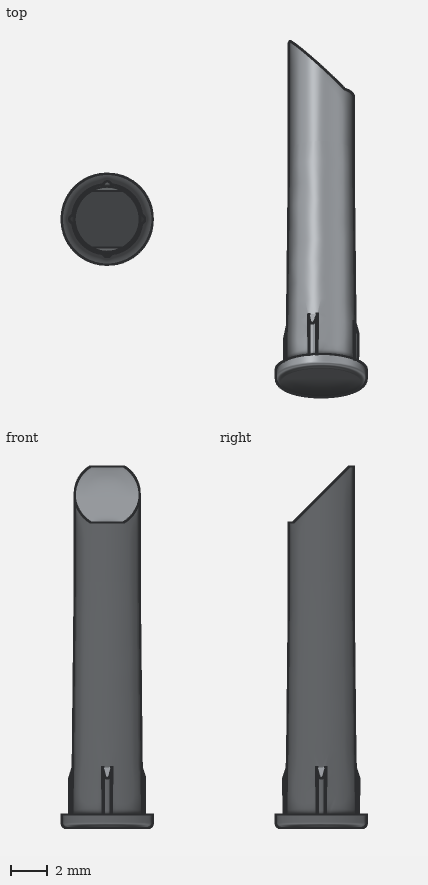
import cadquery as cq

total_height = 19.81
flange_radius = 2.5
flange_height = 0.75
flange_edge_radius = 0.3

stem_base_radius = 1.92
tip_radius = 1.78
cone_top = 13.47

bevel_run = 3.07

rib_count = 4
rib_outer_radius = 2.08
rib_foot_radius = 1.88
rib_foot_half_width = 0.28
rib_nose_radius = 1.96
rib_nose_half_width = 0.18
rib_top = 3.35
rib_shoulder = 2.71


def make_flange():
    disc = cq.Workplane("XY").circle(flange_radius).extrude(flange_height)
    return disc.faces("<Z").edges().fillet(flange_edge_radius)


def make_stem():
    profile = (
        cq.Workplane("XZ")
        .moveTo(0, flange_height)
        .lineTo(stem_base_radius, flange_height)
        .lineTo(tip_radius, cone_top)
        .lineTo(tip_radius, total_height)
        .lineTo(0, total_height)
        .close()
    )
    stem = profile.revolve(360, (0, 0, 0), (0, 1, 0))
    return stem.cut(make_bevel_cutter())


def make_bevel_cutter():
    """Space above the sloped face and the small flat at its low end."""
    half_run = bevel_run / 2
    low_end = total_height - bevel_run
    clear_side = 2 * tip_radius
    return (
        cq.Workplane("YZ")
        .moveTo(half_run, total_height)
        .lineTo(-half_run, low_end)
        .lineTo(-clear_side, low_end)
        .lineTo(-clear_side, total_height)
        .close()
        .extrude(clear_side, both=True)
    )


def make_rib():
    """Rib on the +X side: a flared bar with a rounded nose whose top slopes in to the stem."""
    bar_height = rib_top - flange_height
    bar = (
        cq.Workplane("XY", origin=(0, 0, flange_height))
        .moveTo(0, -rib_foot_half_width)
        .lineTo(rib_foot_radius, -rib_foot_half_width)
        .lineTo(rib_nose_radius, -rib_nose_half_width)
        .threePointArc((rib_outer_radius, 0), (rib_nose_radius, rib_nose_half_width))
        .lineTo(rib_foot_radius, rib_foot_half_width)
        .lineTo(0, rib_foot_half_width)
        .close()
        .extrude(bar_height)
    )
    slope_envelope = (
        cq.Workplane("XZ")
        .moveTo(0, flange_height)
        .lineTo(rib_outer_radius, flange_height)
        .lineTo(rib_outer_radius, rib_shoulder)
        .lineTo(rib_foot_radius, rib_top)
        .lineTo(0, rib_top)
        .close()
        .extrude(rib_foot_half_width, both=True)
    )
    return bar.intersect(slope_envelope)


result = make_flange().union(make_stem())
for index in range(rib_count):
    angle = index * 360 / rib_count
    result = result.union(make_rib().rotate((0, 0, 0), (0, 0, 1), angle))